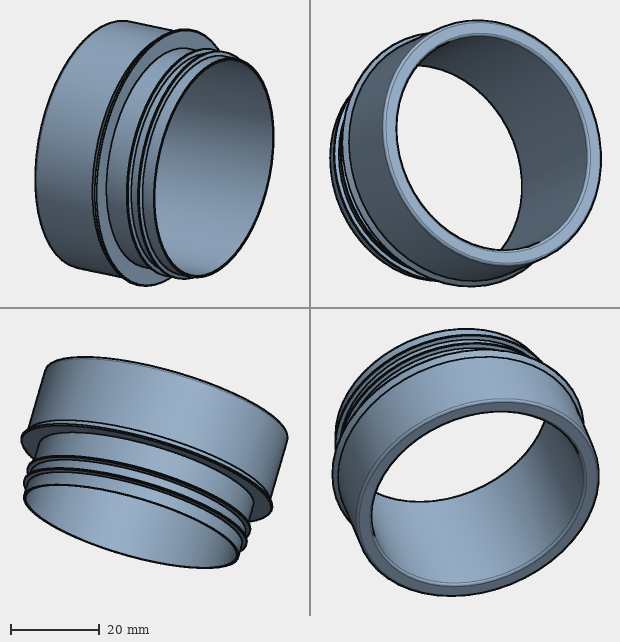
import cadquery as cq

length = 30.0
bore_radius = 49.6 / 2
body_radius = 57.0 / 2
neck_radius = 50.4 / 2
rim_rounding = 0.6

collar_radius = 29.5
collar_start = 15.65
collar_end = 17.3
lip_width = 0.35
lip_drop = 0.25

ridge_height = 0.95
ridge_base = 0.95
ridge_crest = 0.35
ridge_centers = (23.5, 26.5)


def revolve_about_x(profile):
    """Turn a closed (axial, radial) outline into a ring around X."""
    return profile.close().revolve(360, (0, 0, 0), (1, 0, 0))


def make_sleeve():
    """Body, collar and neck with a rounded rim at the thick end."""
    sleeve = revolve_about_x(
        cq.Workplane("XY")
        .moveTo(0, bore_radius)
        .lineTo(0, body_radius)
        .lineTo(collar_start, body_radius)
        .lineTo(collar_end - lip_width, collar_radius)
        .lineTo(collar_end, collar_radius - lip_drop)
        .lineTo(collar_end, neck_radius)
        .lineTo(length, neck_radius)
        .lineTo(length, bore_radius)
    )
    return sleeve.faces("<X").edges().fillet(rim_rounding)


def make_ridge(center):
    """Tapered ridge with a flat crest, rooted inside the neck wall."""
    root_radius = (bore_radius + neck_radius) / 2
    return revolve_about_x(
        cq.Workplane("XY")
        .moveTo(center - ridge_base / 2, root_radius)
        .lineTo(center - ridge_base / 2, neck_radius)
        .lineTo(center - ridge_crest / 2, neck_radius + ridge_height)
        .lineTo(center + ridge_crest / 2, neck_radius + ridge_height)
        .lineTo(center + ridge_base / 2, neck_radius)
        .lineTo(center + ridge_base / 2, root_radius)
    )


result = make_sleeve()
for ridge_center in ridge_centers:
    result = result.union(make_ridge(ridge_center))